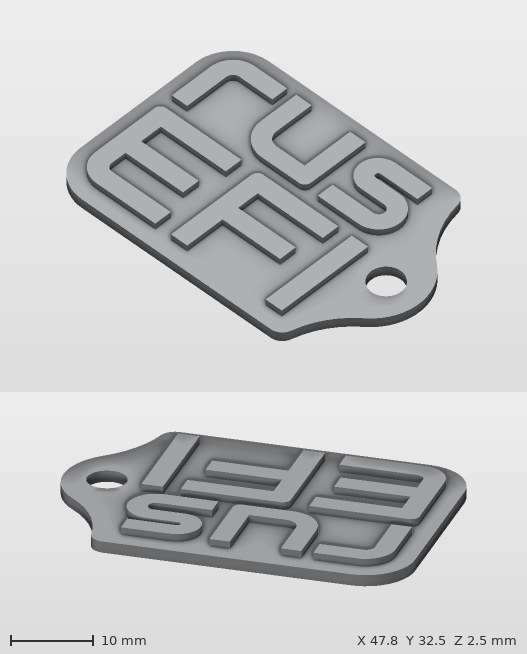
import cadquery as cq
import math

length = 47.8
width = 32.5
plate_thickness = 1.5
back_corner_radius = 6.2
shoulder_radius = 2.0

tab_axis_y = -0.75
tab_radius = 8.05
flank_radius = 14.0
flank_offset_y = 17.3
hole_diameter = 5.0
hole_x = 42.3

letter_height = 1.0
margin = 2.5
row_gap = 2.0
small_stroke = 2.6
large_stroke = 2.7
small_row_height = 10.5

left_x = margin
small_top = width / 2 - margin
small_bottom = small_top - small_row_height
large_top = small_bottom - row_gap
large_bottom = -small_top

frame_radius = back_corner_radius - margin
tight_radius = 1.0

r_right = 11.7

u_left = 13.25
u_right = 24.85
u_bend_radius = 4.35

s_left = 26.85
s_tail_left = 26.95
s_top_right = 36.05
s_slot_height = 0.85

arm_length = 13.6
middle_arm_length = 12.38
f_left = 18.75

right_x = 37.3


def make_plate():
    """Plate with a pierced tab that blends into the corners through concave flanks."""
    half_width = width / 2
    tab_x = length - tab_radius
    center_distance = tab_radius + flank_radius
    flank_x = tab_x + math.sqrt(center_distance**2 - flank_offset_y**2)

    def half_profile(side):
        """Shoulder, flank middle and tangent point on one side (+1 for +Y, -1 for -Y)."""
        flank_y = tab_axis_y + side * flank_offset_y
        edge_y = side * half_width
        shoulder_x = flank_x - math.sqrt(flank_radius**2 - (edge_y - flank_y)**2)
        shoulder = (shoulder_x, edge_y)
        share = tab_radius / center_distance
        tangent = (tab_x + share * (flank_x - tab_x), tab_axis_y + share * (flank_y - tab_axis_y))
        start_angle = math.atan2(shoulder[1] - flank_y, shoulder[0] - flank_x) % (2 * math.pi)
        end_angle = math.atan2(tangent[1] - flank_y, tangent[0] - flank_x) % (2 * math.pi)
        angle = (start_angle + end_angle) / 2
        middle = (flank_x + flank_radius * math.cos(angle), flank_y + flank_radius * math.sin(angle))
        return shoulder, middle, tangent

    low_shoulder, low_middle, low_tangent = half_profile(-1)
    high_shoulder, high_middle, high_tangent = half_profile(1)
    plate = (
        cq.Workplane("XY")
        .moveTo(0, -half_width)
        .lineTo(*low_shoulder)
        .threePointArc(low_middle, low_tangent)
        .threePointArc((length, tab_axis_y), high_tangent)
        .threePointArc(high_middle, high_shoulder)
        .lineTo(0, half_width)
        .close()
        .extrude(plate_thickness)
    )
    for corner in (low_shoulder, high_shoulder):
        plate = round_corner(plate, corner, shoulder_radius)
    for y in (-half_width, half_width):
        plate = round_corner(plate, (0, y), back_corner_radius)
    hole = cq.Workplane("XY").center(hole_x, tab_axis_y).circle(hole_diameter / 2).extrude(plate_thickness)
    return plate.cut(hole)


def round_corner(body, corner, radius):
    """Round the upright edge nearest to the given XY corner."""
    z = body.val().Center().z
    return body.edges("|Z").edges(cq.NearestToPointSelector((*corner, z))).fillet(radius)


def bar(x_min, x_max, y_min, y_max):
    """Rectangular letter stroke standing on the plate."""
    return (
        cq.Workplane("XY", origin=(x_min, y_min, plate_thickness))
        .rect(x_max - x_min, y_max - y_min, centered=False)
        .extrude(letter_height)
    )


def make_r():
    inner_x = left_x + small_stroke
    inner_y = small_top - small_stroke
    stem = bar(left_x, inner_x, small_bottom, small_top)
    letter = stem.union(bar(left_x, r_right, inner_y, small_top))
    letter = round_corner(letter, (left_x, small_top), frame_radius)
    return round_corner(letter, (inner_x, inner_y), frame_radius - small_stroke)


def make_u():
    inner_x = u_left + small_stroke
    inner_y = small_bottom + small_stroke
    letter = (
        bar(u_left, inner_x, small_bottom, small_top)
        .union(bar(u_right - small_stroke, u_right, small_bottom, small_top))
        .union(bar(u_left, u_right, small_bottom, inner_y))
    )
    letter = round_corner(letter, (u_left, small_bottom), u_bend_radius)
    letter = round_corner(letter, (inner_x, inner_y), u_bend_radius - small_stroke)
    return round_corner(letter, (u_right, small_bottom), tight_radius)


def make_s():
    """Constant-width stroke: a bowl open to +X above a bowl open to -X."""
    upper_inner = s_slot_height / 2
    upper_outer = upper_inner + small_stroke
    lower_outer = (small_row_height - s_slot_height - small_stroke) / 2
    lower_inner = lower_outer - small_stroke
    upper_x = s_left + upper_outer
    upper_y = small_top - upper_outer
    lower_x = right_x - lower_outer
    lower_y = small_bottom + lower_outer
    return (
        cq.Workplane("XY", origin=(0, 0, plate_thickness))
        .moveTo(s_top_right, small_top)
        .lineTo(upper_x, small_top)
        .threePointArc((s_left, upper_y), (upper_x, upper_y - upper_outer))
        .lineTo(lower_x, lower_y + lower_inner)
        .threePointArc((lower_x + lower_inner, lower_y), (lower_x, lower_y - lower_inner))
        .lineTo(s_tail_left, lower_y - lower_inner)
        .lineTo(s_tail_left, small_bottom)
        .lineTo(lower_x, small_bottom)
        .threePointArc((right_x, lower_y), (lower_x, lower_y + lower_outer))
        .lineTo(upper_x, upper_y - upper_inner)
        .threePointArc((upper_x - upper_inner, upper_y), (upper_x, upper_y + upper_inner))
        .lineTo(s_top_right, upper_y + upper_inner)
        .close()
        .extrude(letter_height)
    )


def make_stem_with_arms(x):
    """Large stem with a top arm and a shorter middle arm; its top corner is rounded."""
    middle_y = (large_top + large_bottom) / 2
    letter = (
        bar(x, x + large_stroke, large_bottom, large_top)
        .union(bar(x, x + arm_length, large_top - large_stroke, large_top))
        .union(bar(x, x + middle_arm_length, middle_y - large_stroke / 2, middle_y + large_stroke / 2))
    )
    return round_corner(letter, (x, large_top), tight_radius)


def make_e():
    inner_x = left_x + large_stroke
    inner_y = large_bottom + large_stroke
    foot = bar(left_x, left_x + arm_length, large_bottom, inner_y)
    letter = make_stem_with_arms(left_x).union(foot)
    letter = round_corner(letter, (left_x, large_bottom), frame_radius)
    return round_corner(letter, (inner_x, inner_y), frame_radius - large_stroke)


plate = make_plate()
letter_r = make_r()
letter_u = make_u()
letter_s = make_s()
letter_e = make_e()
letter_f = make_stem_with_arms(f_left)
letter_i = bar(right_x - large_stroke, right_x, large_bottom, large_top)

bodies = [plate, letter_r, letter_u, letter_s, letter_e, letter_f, letter_i]
result = cq.Compound.makeCompound([body.val() for body in bodies])